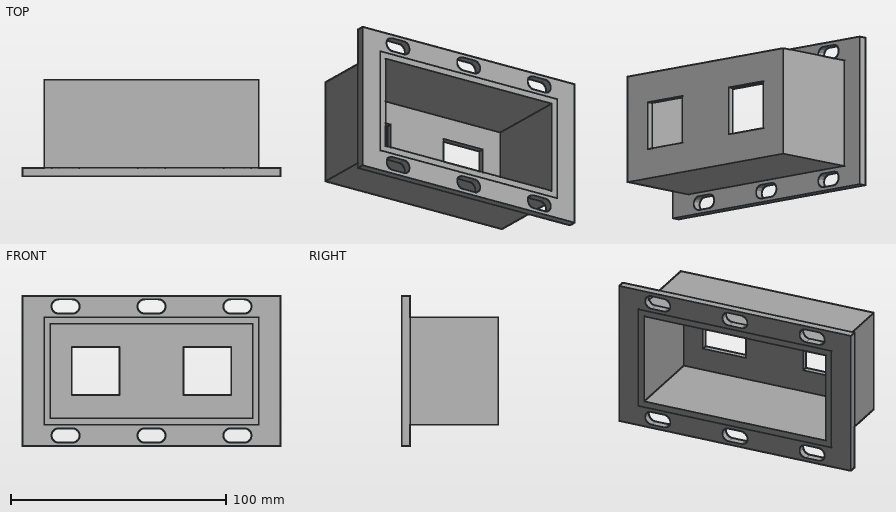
import cadquery as cq

flange_length = 120.0
flange_height = 70.0
flange_thickness = 4.0

box_length = 100.0
box_height = 50.0
box_depth = 45.0
wall = 3.0

window_size = 22.2
window_spacing = 52.0

slot_length = 13.0
slot_width = 6.5
slot_pitch = 40.0
slot_row_spacing = 60.0
slots_per_row = 3
slot_rows = 2


def block(length, depth, height, front=0.0):
    """Block centred on X and Z that runs back along +Y from its front face."""
    return cq.Workplane("XY").box(length, depth, height, centered=(True, False, True)).translate((0, front, 0))


def make_flange():
    """Rectangular plate with an opening for the box and two rows of slots."""
    opening = block(box_length, flange_thickness, box_height)
    slots = (
        cq.Workplane("XZ")
        .rarray(slot_pitch, slot_row_spacing, slots_per_row, slot_rows)
        .slot2D(slot_length, slot_width)
        .extrude(-flange_thickness)
    )
    return block(flange_length, flange_thickness, flange_height).cut(opening).cut(slots)


def make_box():
    """Open-fronted box with two windows in its back wall."""
    cavity_depth = box_depth - wall
    cavity = block(box_length - 2 * wall, cavity_depth, box_height - 2 * wall)
    box = block(box_length, box_depth, box_height).cut(cavity)
    window = block(window_size, wall, window_size, front=cavity_depth)
    for side in (-1, 1):
        box = box.cut(window.translate((side * window_spacing / 2, 0, 0)))
    return box


flange = make_flange()
box = make_box()
result = cq.Compound.makeCompound([flange.val(), box.val()])